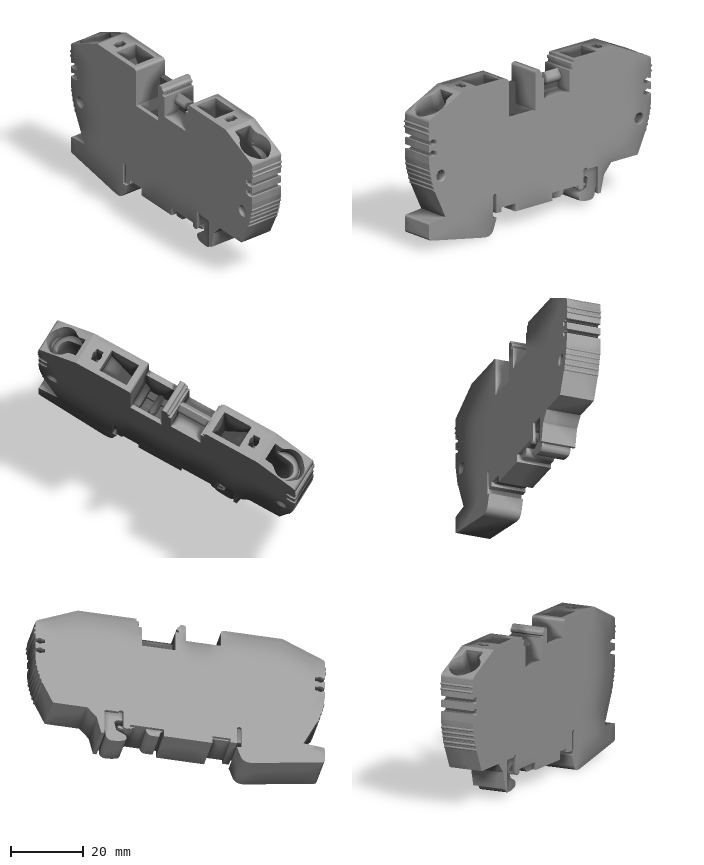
import cadquery as cq
import math


WIDTH = 10.1
HEIGHT = 44.2
HALF_LENGTH = 41.3
HALF_BODY = 40.9
TOP_HALF = 28.9
SHOULDER_X = 40.2
SHOULDER_Z = 39.0
SIDE_BEND_Z = 25.9
FLANK_X = 38.8
FLANK_Z = 17.5
FLANK_MID_X = 40.15
FLANK_MID_Z = 21.7
CORNER_Z = 37.75
CORNER_RADIUS = 1.15

RAIL_Z = 7.35
BELLY_Z = 5.0
BELLY_X0 = -9.1
BELLY_X1 = 4.55
TAB_X1 = 14.1
CLIP_SLOT_Z = 11.8
CLIP_CEILING_Z = 11.3
LEFT_SLOT_X0 = -17.35
LEFT_SLOT_X1 = -16.1
CLIP_X0 = 16.0
CLIP_X1 = 21.3
CLIP_RECESS = 0.8
CLIP_PLATE_Z = 7.0
EMBED = 0.8

LEFT_NOTCH_X0 = -11.6
LEFT_NOTCH_X1 = -1.65
LEFT_NOTCH_Z = 32.6
LEFT_NOTCH_ROUND = 0.75
RIGHT_NOTCH_X0 = 1.3
RIGHT_NOTCH_X1 = 10.8
RIGHT_NOTCH_Z = 35.2
LEDGE_Z = 41.5

LINE_Y = -0.25

CAVITY_Y0 = -3.9
CAVITY_Y1 = 3.4
BACK_WALL_Z = 38.9
CAVITY_SLOPE = 1.4
CAVITY_SHELF_Z = 30.0
CAVITY_FLOOR_Z = 28.1
CHANNEL_WIDTH = 3.3
CHANNEL_DEPTH = 0.8
RIDGE_X0 = -7.7
RIDGE_TOP_X = -6.4
RIDGE_X1 = -5.5

BAR_DIAMETER = 3.0
BAR_Z = 38.8
BAR_NOSE_ANGLE = 35
BAR_CREST_Y = -0.2
BAR_CREST_Z = 41.05
BAR_BEND_Y = 0.4
BAR_BEND_Z = 40.8
BAR_BACK_Y = 1.5
BAR_BACK_Z = 39.6
BAR_NECK_Y = 0.0
BAR_FOOT_Y = -0.5
BAR_FOOT_Z = 35.7

ENTRY_TILT = 20.5
ENTRY_LEAD = 3.3
FUNNEL_X = 36.1
FUNNEL_DIAMETER = 8.9
FUNNEL_DEPTH = 5.1
RELIEF_X = 35.85
RELIEF_LENGTH = 10.4
RELIEF_WIDTH = 6.45
RELIEF_DEPTH = 4.3
BORE_X = 36.5
BORE_DIAMETER = 5.4
BORE_DEPTH = 19.8
BORE_SLOT_X = 30.2

POCKET_X0 = 13.6
POCKET_X1 = 22.3
POCKET_WIDTH = 6.8
POCKET_DEPTH_OUTER = 4.3
POCKET_DEPTH_INNER = 14.8
PROBE_X = 25.0
PROBE_DIAMETER = 2.7
PROBE_SLOT_LENGTH = 3.5
PROBE_SLOT_WIDTH = 2.15
PROBE_DEPTH = 8.3

BUMP_RADIUS = 0.3
BUMP_HEIGHTS = (36.1, 34.6)
RIB_RADIUS = 0.4
RIB_CENTRES = ((40.4, 23.7), (40.1, 22.2), (39.7, 20.9), (39.3, 19.3), (38.8, 17.9))
GROOVE_HEIGHTS = (32.0, 28.75)
GROOVE_DEPTH = 2.7
GROOVE_WIDTH = 1.2
GROOVE_BULGE_X = 39.6
GROOVE_BULGE_DIAMETER = 1.9

SIDE_HOLE_X = 36.5
SIDE_HOLE_Z = 21.7
SIDE_HOLE_DIAMETER = 3.0
SIDE_HOLE_DEPTH = 1.65
SIDE_HOLE_CHAMFER = 0.25
SIDE_HOLE_TIP_DIAMETER = 2.5
SIDE_HOLE_TIP_DEPTH = 2.5


def across(y0, y1, outline):
    """Extrude a closed XZ outline between two Y positions."""
    length = y1 - y0
    return outline.extrude(-length).translate((0, y0, 0))


def block(x0, x1, y0, y1, z0, z1):
    return cq.Workplane("XY").box(x1 - x0, y1 - y0, z1 - z0, centered=False).translate((x0, y0, z0))


def cross_pin(x, z, diameter, y0=-WIDTH / 2, y1=WIDTH / 2):
    """Cylinder along Y."""
    return across(y0, y1, cq.Workplane("XZ").center(x, z).circle(diameter / 2))


def both_ends(shape):
    return shape.union(shape.mirror("YZ"))


def housing():
    outline = (
        cq.Workplane("XZ")
        .moveTo(-TOP_HALF, HEIGHT)
        .lineTo(LEFT_NOTCH_X0 - LEFT_NOTCH_ROUND, HEIGHT)
        .radiusArc((LEFT_NOTCH_X0, HEIGHT - LEFT_NOTCH_ROUND), LEFT_NOTCH_ROUND)
        .lineTo(LEFT_NOTCH_X0, LEFT_NOTCH_Z)
        .lineTo(LEFT_NOTCH_X1, LEFT_NOTCH_Z)
        .lineTo(LEFT_NOTCH_X1, HEIGHT - LEFT_NOTCH_ROUND)
        .radiusArc((LEFT_NOTCH_X1 + LEFT_NOTCH_ROUND, HEIGHT), LEFT_NOTCH_ROUND)
        .lineTo(-0.1, HEIGHT)
        .lineTo(0.2, 43.5)
        .lineTo(0.8, 43.0)
        .lineTo(0.8, 42.4)
        .lineTo(0.3, 42.0)
        .lineTo(0.4, LEDGE_Z)
        .lineTo(RIGHT_NOTCH_X0, LEDGE_Z)
        .lineTo(RIGHT_NOTCH_X0, RIGHT_NOTCH_Z)
        .lineTo(RIGHT_NOTCH_X1, RIGHT_NOTCH_Z)
        .lineTo(RIGHT_NOTCH_X1, LEDGE_Z)
        .lineTo(11.8, LEDGE_Z)
        .lineTo(11.9, 42.3)
        .lineTo(11.6, 42.45)
        .lineTo(11.6, 43.3)
        .lineTo(12.3, 43.45)
        .lineTo(12.3, HEIGHT)
        .lineTo(TOP_HALF, HEIGHT)
        .lineTo(SHOULDER_X, SHOULDER_Z)
        .radiusArc((HALF_BODY, CORNER_Z), CORNER_RADIUS)
        .lineTo(HALF_BODY, SIDE_BEND_Z)
        .threePointArc((FLANK_MID_X, FLANK_MID_Z), (FLANK_X, FLANK_Z))
        .lineTo(35.9, CLIP_CEILING_Z)
        .lineTo(26.2, CLIP_CEILING_Z)
        .lineTo(23.5, 8.35)
        .lineTo(22.3, 3.3)
        .lineTo(CLIP_X1, 3.3)
        .lineTo(CLIP_X1, CLIP_CEILING_Z - 0.3)
        .lineTo(CLIP_X1 - 0.3, CLIP_CEILING_Z)
        .lineTo(17.4, CLIP_CEILING_Z)
        .lineTo(17.0, CLIP_SLOT_Z)
        .lineTo(CLIP_X0 + 0.25, CLIP_SLOT_Z)
        .lineTo(CLIP_X0, CLIP_SLOT_Z - 0.25)
        .lineTo(CLIP_X0, 6.4)
        .threePointArc((15.1, 5.9), (TAB_X1, 6.45))
        .lineTo(TAB_X1, RAIL_Z)
        .lineTo(BELLY_X1, RAIL_Z)
        .lineTo(BELLY_X1, BELLY_Z)
        .lineTo(BELLY_X0, BELLY_Z)
        .lineTo(BELLY_X0, RAIL_Z)
        .lineTo(-14.2, RAIL_Z)
        .lineTo(-14.2, 6.1)
        .lineTo(LEFT_SLOT_X1, 6.1)
        .lineTo(LEFT_SLOT_X1, CLIP_SLOT_Z - 0.5)
        .threePointArc(((LEFT_SLOT_X0 + LEFT_SLOT_X1) / 2, CLIP_SLOT_Z), (LEFT_SLOT_X0, CLIP_SLOT_Z - 0.5))
        .lineTo(LEFT_SLOT_X0, 4.95)
        .lineTo(-16.0, 4.8)
        .lineTo(-17.2, 1.6)
        .threePointArc((-18.0, 0.5), (-19.5, 0))
        .lineTo(-20.3, 0)
        .lineTo(-40.3, 3.6)
        .radiusArc((-HALF_BODY, 4.5), 0.9)
        .lineTo(-HALF_BODY, 8.3)
        .radiusArc((-40.4, 8.75), 0.6)
        .lineTo(-34.85, 9.25)
        .lineTo(-FLANK_X, FLANK_Z)
        .threePointArc((-FLANK_MID_X, FLANK_MID_Z), (-HALF_BODY, SIDE_BEND_Z))
        .lineTo(-HALF_BODY, CORNER_Z)
        .radiusArc((-SHOULDER_X, SHOULDER_Z), CORNER_RADIUS)
        .close()
    )
    return across(-WIDTH / 2, WIDTH / 2, outline)


def rail_clip():
    """Plates and hook of the rail clip, set back from both housing sides."""
    y0 = -WIDTH / 2 + CLIP_RECESS
    y1 = WIDTH / 2 - CLIP_RECESS
    left_plate = block(LEFT_SLOT_X0 - EMBED, BELLY_X0 + EMBED, y0, y1, CLIP_PLATE_Z, CLIP_SLOT_Z + EMBED)
    nub = (
        cq.Workplane("XZ")
        .moveTo(4.7, RAIL_Z + EMBED)
        .lineTo(4.7, RAIL_Z)
        .lineTo(5.5, 6.5)
        .lineTo(5.6, 5.45)
        .lineTo(5.95, 5.2)
        .lineTo(7.9, 5.2)
        .threePointArc((9.0, 5.8), (9.3, RAIL_Z))
        .lineTo(9.3, RAIL_Z + EMBED)
        .close()
    )
    latch = (
        cq.Workplane("XZ")
        .moveTo(12.7, RAIL_Z + EMBED)
        .lineTo(12.7, RAIL_Z)
        .lineTo(14.1, 6.4)
        .lineTo(15.2, 5.95)
        .lineTo(17.2, 6.4)
        .lineTo(17.5, 6.7)
        .lineTo(17.1, 7.2)
        .lineTo(16.7, CLIP_PLATE_Z)
        .lineTo(CLIP_X0 - EMBED, CLIP_PLATE_Z)
        .lineTo(CLIP_X0 - EMBED, RAIL_Z + EMBED)
        .close()
    )
    hook = (
        cq.Workplane("XZ")
        .moveTo(CLIP_X0 - EMBED, CLIP_SLOT_Z + EMBED)
        .lineTo(CLIP_X0 - EMBED, 9.0)
        .lineTo(16.9, 9.0)
        .threePointArc((17.85, 8.75), (18.4, 8.2))
        .lineTo(17.85, 5.5)
        .lineTo(15.4, 4.3)
        .threePointArc((14.95, 3.4), (15.7, 2.2))
        .threePointArc((17.5, 1.8), (19.6, 1.7))
        .threePointArc((20.5, 2.4), (20.8, 3.7))
        .lineTo(21.1, 5.0)
        .lineTo(CLIP_X1 + EMBED, 5.0)
        .lineTo(CLIP_X1 + EMBED, CLIP_SLOT_Z + EMBED)
        .close()
    )
    clip = left_plate
    for outline in (nub, latch, hook):
        clip = clip.union(across(y0, y1, outline))
    return clip


def notch_cavity():
    """Hopper below the left notch with a ridge across its floor."""
    x0 = LEFT_NOTCH_X0
    x1 = LEFT_NOTCH_X1
    hopper = (
        cq.Workplane("XZ")
        .moveTo(x0, LEFT_NOTCH_Z)
        .lineTo(x0 + CAVITY_SLOPE, CAVITY_SHELF_Z)
        .lineTo(x0 + CAVITY_SLOPE, CAVITY_FLOOR_Z)
        .lineTo(RIDGE_X0, CAVITY_FLOOR_Z)
        .lineTo(RIDGE_TOP_X, CAVITY_SHELF_Z)
        .lineTo(RIDGE_X1, CAVITY_FLOOR_Z)
        .lineTo(x1 - CAVITY_SLOPE, CAVITY_FLOOR_Z)
        .lineTo(x1 - CAVITY_SLOPE, CAVITY_SHELF_Z)
        .lineTo(x1, LEFT_NOTCH_Z)
        .close()
    )
    cavity = across(CAVITY_Y0, CAVITY_Y1, hopper)
    channel_y0 = LINE_Y - CHANNEL_WIDTH / 2
    channel_y1 = LINE_Y + CHANNEL_WIDTH / 2
    for start, end in ((x0 + CAVITY_SLOPE, RIDGE_X0), (RIDGE_X1, x1 - CAVITY_SLOPE)):
        channel_bottom = CAVITY_FLOOR_Z - CHANNEL_DEPTH
        cavity = cavity.union(block(start, end, channel_y0, channel_y1, channel_bottom, CAVITY_FLOOR_Z))
    return cavity


def notch_bar():
    """Bar with a rounded nose, running the length of the right notch."""
    radius = BAR_DIAMETER / 2
    nose_angle = math.radians(BAR_NOSE_ANGLE)
    section = (
        cq.Workplane("YZ")
        .moveTo(BAR_BACK_Y, RIGHT_NOTCH_Z)
        .lineTo(BAR_BACK_Y, BAR_BACK_Z)
        .lineTo(BAR_BEND_Y, BAR_BEND_Z)
        .lineTo(BAR_CREST_Y, BAR_CREST_Z)
        .lineTo(-radius * math.cos(nose_angle), BAR_Z + radius * math.sin(nose_angle))
        .threePointArc((-radius, BAR_Z), (BAR_NECK_Y, BAR_Z - radius))
        .lineTo(BAR_NECK_Y, BAR_FOOT_Z)
        .lineTo(BAR_FOOT_Y, RIGHT_NOTCH_Z)
        .close()
    )
    return section.extrude(RIGHT_NOTCH_X1 - RIGHT_NOTCH_X0).translate((RIGHT_NOTCH_X0, 0, 0))


def slope_z(x):
    """Height of the sloped wire-entry face at a distance x from the symmetry plane."""
    return HEIGHT - (HEIGHT - SHOULDER_Z) * (x - TOP_HALF) / (SHOULDER_X - TOP_HALF)


def entry_start(x):
    """Work plane across the entry axis, a little above the sloped face; local Y points outwards."""
    tilt = math.radians(ENTRY_TILT)
    axis = cq.Vector(-math.sin(tilt), 0, -math.cos(tilt))
    start = cq.Vector(x, LINE_Y, slope_z(x)) - axis * ENTRY_LEAD
    return cq.Workplane(cq.Plane(origin=start.toTuple(), xDir=(0, 1, 0), normal=axis.toTuple()))


def wire_entry():
    """Stepped round entry on the right, tilted towards the middle of the block."""
    tilt = math.radians(ENTRY_TILT)
    funnel = entry_start(FUNNEL_X).circle(FUNNEL_DIAMETER / 2).extrude(ENTRY_LEAD + FUNNEL_DEPTH)
    relief = (
        entry_start(RELIEF_X)
        .slot2D(RELIEF_LENGTH, RELIEF_WIDTH, 90)
        .extrude(ENTRY_LEAD + RELIEF_DEPTH)
    )
    bore_start = entry_start(BORE_X)
    bore = bore_start.circle(BORE_DIAMETER / 2).extrude(ENTRY_LEAD + BORE_DEPTH)
    slot_rise = slope_z(BORE_SLOT_X) - slope_z(BORE_X)
    slot_reach = (BORE_X - BORE_SLOT_X) * math.cos(tilt) + slot_rise * math.sin(tilt)
    slot = (
        bore_start.center(0, -slot_reach / 2)
        .rect(BORE_DIAMETER, slot_reach)
        .extrude(ENTRY_LEAD + BORE_DEPTH)
    )
    return funnel.union(relief).union(bore).union(slot)


def top_pocket():
    """Rectangular pocket with a floor that falls towards the middle of the block."""
    outline = (
        cq.Workplane("XZ")
        .moveTo(POCKET_X0, HEIGHT)
        .lineTo(POCKET_X1, HEIGHT)
        .lineTo(POCKET_X1, HEIGHT - POCKET_DEPTH_OUTER)
        .lineTo(POCKET_X0, HEIGHT - POCKET_DEPTH_INNER)
        .close()
    )
    return across(LINE_Y - POCKET_WIDTH / 2, LINE_Y + POCKET_WIDTH / 2, outline)


def probe_hole():
    """Round test hole crossed by a short slot."""
    face = cq.Workplane("XY").workplane(offset=HEIGHT - PROBE_DEPTH).center(PROBE_X, LINE_Y)
    hole = face.circle(PROBE_DIAMETER / 2).extrude(PROBE_DEPTH)
    return hole.union(face.rect(PROBE_SLOT_WIDTH, PROBE_SLOT_LENGTH).extrude(PROBE_DEPTH))


def end_ridges():
    """Grip ridges on the right end face and flank."""
    ridges = cq.Workplane("XZ")
    for z in BUMP_HEIGHTS:
        ridges = ridges.union(cross_pin(HALF_LENGTH - BUMP_RADIUS, z, 2 * BUMP_RADIUS))
    for x, z in RIB_CENTRES:
        ridges = ridges.union(cross_pin(x, z, 2 * RIB_RADIUS))
    return ridges


def end_grooves():
    """Marker grooves in the right end, each widened part way in."""
    grooves = cq.Workplane("XZ")
    half = GROOVE_WIDTH / 2
    for z in GROOVE_HEIGHTS:
        slit = block(HALF_BODY - GROOVE_DEPTH, HALF_BODY, -WIDTH / 2, WIDTH / 2, z - half, z + half)
        grooves = grooves.union(slit).union(cross_pin(GROOVE_BULGE_X, z, GROOVE_BULGE_DIAMETER))
    return grooves


def side_hole():
    """Stepped blind hole in the front side with a chamfered mouth."""
    y0 = -WIDTH / 2
    hole = cross_pin(SIDE_HOLE_X, SIDE_HOLE_Z, SIDE_HOLE_DIAMETER, y0, y0 + SIDE_HOLE_DEPTH)
    tip = cross_pin(SIDE_HOLE_X, SIDE_HOLE_Z, SIDE_HOLE_TIP_DIAMETER, y0, y0 + SIDE_HOLE_TIP_DEPTH)
    mouth_diameter = SIDE_HOLE_DIAMETER + 2 * SIDE_HOLE_CHAMFER
    mouth = (
        cq.Workplane("XZ", origin=(SIDE_HOLE_X, y0, SIDE_HOLE_Z))
        .circle(mouth_diameter / 2)
        .workplane(offset=-SIDE_HOLE_CHAMFER)
        .circle(SIDE_HOLE_DIAMETER / 2)
        .loft(ruled=True)
    )
    return hole.union(tip).union(mouth)


back_wall = block(LEFT_NOTCH_X0, LEFT_NOTCH_X1, CAVITY_Y1, WIDTH / 2, LEFT_NOTCH_Z, BACK_WALL_Z)

result = housing().union(back_wall).union(notch_bar()).union(rail_clip()).union(both_ends(end_ridges()))
result = result.cut(notch_cavity())
for cutter in (end_grooves(), wire_entry(), top_pocket(), probe_hole(), side_hole()):
    result = result.cut(both_ends(cutter))